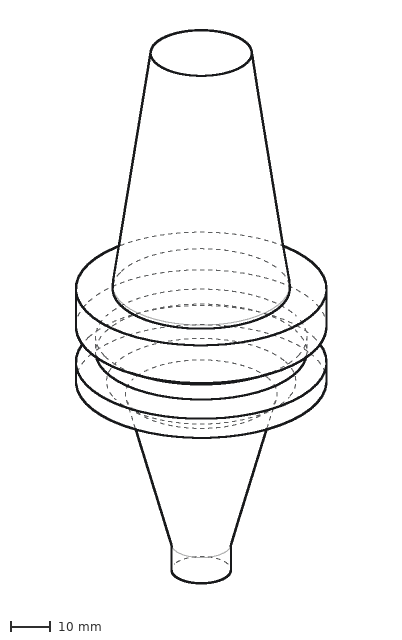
import cadquery as cq

total_height = 145.4

tip_diameter = 15.0
tip_height = 7.3
nose_diameter = 38.1
nose_top = 49.5

flange_diameter = 63.0
flange_bottom = 53.0
flange_top = 79.1
flange_underside_diameter = 47.5
groove_diameter = 53.0
groove_floor_height = 4.2
groove_flank_height = 2.9
lower_rim_height = 5.4

shank_diameter = 44.5
shank_end_diameter = 25.5
collar_height = 1.0

groove_bottom = flange_bottom + lower_rim_height
groove_floor_bottom = groove_bottom + groove_flank_height
groove_floor_top = groove_floor_bottom + groove_floor_height
groove_top = groove_floor_top + groove_flank_height

profile = [
    (tip_diameter, 0),
    (tip_diameter, tip_height),
    (nose_diameter, nose_top),
    (flange_underside_diameter, flange_bottom),
    (flange_diameter, flange_bottom),
    (flange_diameter, groove_bottom),
    (groove_diameter, groove_floor_bottom),
    (groove_diameter, groove_floor_top),
    (flange_diameter, groove_top),
    (flange_diameter, flange_top),
    (shank_diameter, flange_top),
    (shank_diameter, flange_top + collar_height),
    (shank_end_diameter, total_height),
]

half_section = [(0, 0)]
half_section += [(diameter / 2, height) for diameter, height in profile]
half_section += [(0, total_height)]

result = (
    cq.Workplane("XZ")
    .polyline(half_section)
    .close()
    .revolve(360, (0, 0, 0), (0, 1, 0))
)